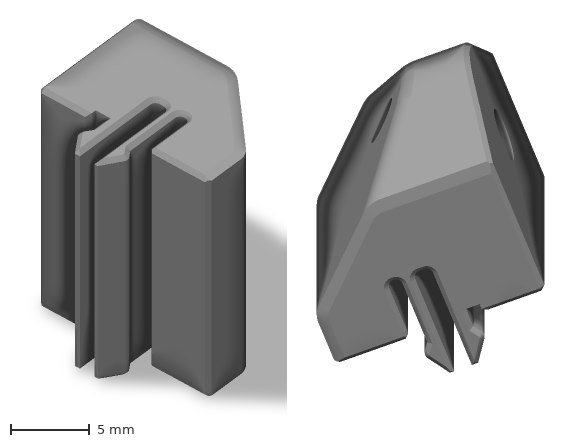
import cadquery as cq
import math

width = 14.3
height = 18.0
depth = 16.95
mount_y = 3.2
slope_sum = 21.2
slope_fillet = 1.5
chamfer = 0.3
top_z = height / 2

bevel_inset = 0.2
bevel_drop = 0.72

nose_radius = 6.0
flank_angle = math.radians(29.6)

slot_end_y = 7.27
slot_corner = 0.43
flex_slot = (6.28, 7.49)
relief_slot = (8.35, 9.25)
clip_left = 5.22
clip_right = relief_slot[0]
clip_root_y = 5.4
neck_y = 2.48
barb_y = 1.71
barb_reach = 0.54
barb_fillet = 0.45
tip_left = 5.85
tip_right = 7.78

recess_left = 4.27
recess_right = relief_slot[1]
recess_top = 3.87

screw_diameter = 2.3
pin_diameter = 2.9
pin_y = 10.6
pin_depth = 4.0


def prism(points):
    """Full-height prism on an outline in the XY plane."""
    return cq.Workplane("XY", origin=(0, 0, -top_z)).polyline(points).close().extrude(height)


def wedge():
    """Right-angled block with its slope."""
    return prism([
        (0, mount_y),
        (width, mount_y),
        (width, slope_sum - width),
        (slope_sum - depth, depth),
        (0, depth),
    ])


def nose_profile():
    """Side outline of the block and its nose, swept along X."""
    centre_y = depth - nose_radius
    tangent_y = centre_y + nose_radius * math.cos(flank_angle)
    tangent_z = nose_radius * math.sin(flank_angle)
    shoulder_y = tangent_y - (top_z - tangent_z) * math.tan(flank_angle)
    return (
        cq.Workplane("YZ")
        .moveTo(mount_y, -top_z)
        .lineTo(shoulder_y, -top_z)
        .lineTo(tangent_y, -tangent_z)
        .threePointArc((depth, 0), (tangent_y, tangent_z))
        .lineTo(shoulder_y, top_z)
        .lineTo(mount_y, top_z)
        .close()
        .extrude(width)
    )


def bevel_ends(body):
    """Bevel the top along the nose, slope and right side, then mirror the upper half."""
    rim = body.faces(">Z").edges("not(<X or <Y)")
    bevelled = rim.chamfer(bevel_inset, bevel_drop)
    upper_half = bevelled.copyWorkplane(cq.Workplane("XY")).split(keepTop=True)
    return upper_half.union(upper_half.mirror("XY"))


def block():
    """Wedge with its nose, rounded along the slope and chamfered on the outer edges."""
    body = wedge().intersect(nose_profile())
    slope_face = body.faces(cq.selectors.DirectionMinMaxSelector(cq.Vector(1, 1, 0)))
    body = slope_face.edges("not(>Z or <Z)").fillet(slope_fillet)
    body = body.faces("<X or <Y").edges().chamfer(chamfer)
    return bevel_ends(body)


def clip_recess():
    """Cutter that clears the mounting face round the clip."""
    return prism([
        (recess_left, 0),
        (recess_left, recess_top),
        (recess_right, recess_top),
        (recess_right, 0),
    ])


def recess_corner(x, away):
    """Cutter for the chamfer on an upright edge of the recess, leaning away from it."""
    return prism([(x, mount_y), (x, mount_y + chamfer), (x + away * chamfer, mount_y)])


def barbed_side(x_neck, x_tip, outward):
    """Points down one side of the clip, from inside the block to the tip."""
    return [
        (x_neck, clip_root_y),
        (x_neck, neck_y),
        (x_neck + outward * barb_reach, barb_y),
        (x_tip, 0),
    ]


def clip():
    """Barbed tongue along the whole height, still undivided."""
    left = barbed_side(clip_left, tip_left, -1)
    right = barbed_side(clip_right, tip_right, 1)
    body = prism(left + right[::-1])
    margin = (neck_y - barb_y) / 2
    barb_band = cq.selectors.BoxSelector(
        (0, barb_y - margin, -top_z), (width, barb_y + margin, top_z)
    )
    body = body.edges("|Z").edges(barb_band).fillet(barb_fillet)
    return body.faces("|Z").edges("not >Y").chamfer(chamfer)


def slot(sides, mouth_y):
    """Cutter for a slot with a rounded end and a chamfered rim on both end faces."""
    left, right = sides
    centre = cq.Vector((left + right) / 2, (mouth_y + slot_end_y) / 2, 0)
    outline = (
        cq.Sketch()
        .rect(right - left, slot_end_y - mouth_y)
        .vertices(">Y")
        .fillet(slot_corner)
        .moved(cq.Location(centre))
    )
    straight = cq.Workplane("XY", origin=(0, 0, -top_z)).placeSketch(outline).extrude(height)
    flare = (
        cq.Workplane("XY", origin=(0, 0, top_z - chamfer))
        .placeSketch(outline)
        .extrude(chamfer, taper=-45)
    )
    return straight.union(flare).union(flare.mirror("XY"))


def screw_hole():
    """Cutter along Y from the end of the flexing slot out through the slope."""
    start_y = slot_end_y - slot_corner
    return (
        cq.Workplane("XZ", origin=(sum(flex_slot) / 2, start_y, 0))
        .circle(screw_diameter / 2)
        .extrude(start_y - depth)
    )


def pin_hole():
    """Blind hole from the left face with a chamfered mouth."""
    mouth = cq.Workplane("YZ", origin=(0, pin_y, 0))
    bore = mouth.circle(pin_diameter / 2).extrude(pin_depth)
    countersink = mouth.circle(pin_diameter / 2 + chamfer).extrude(chamfer, taper=45)
    return bore.union(countersink)


result = (
    block()
    .cut(clip_recess())
    .cut(recess_corner(recess_left, -1))
    .cut(recess_corner(recess_right, 1))
    .union(clip())
    .cut(slot(flex_slot, -chamfer))
    .cut(slot(relief_slot, neck_y + chamfer))
    .cut(screw_hole())
    .cut(pin_hole())
)